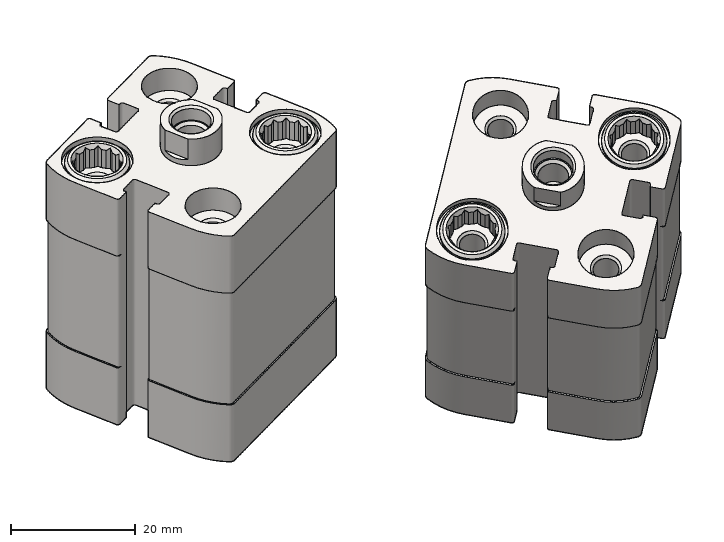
import cadquery as cq
import math

width = 35.5
half_width = width / 2
total_height = 52.5
rod_stickout = 5.5
housing_height = total_height - rod_stickout
cap_height = 11.85
barrel_inset = 0.25
chamfer_slope = 45.0

bolt_offset = 10.95
corner_arc_radius = 12.95
corner_fillet = 0.95

slot_angles = (0, 180, -90)
slot_mouth = 5.4
slot_lip = 2.4
slot_depth = 5.85
slot_mouth_fillet = 0.4
slot_chamber_width = 6.9
slot_chamber_fillet = 0.4

bolt_hole_diameter = 4.15
bolt_countersink_diameter = 5.0
counterbore_diameter = 9.0
recess_depth = 4.6

groove_diameter = 11.5
groove_depth = 1.0
head_diameter = 10.5
head_face_diameter = 9.5
socket_entry_diameter = 8.4
socket_bore_diameter = 7.4
socket_corner_diameter = 8.0
socket_entry_slope = 60.0

rod_diameter = 10.0
rod_length = rod_stickout + cap_height
flat_spacing = 9.0
flat_length = 4.2
flat_runout_slope = 30.0
rod_mouth_diameter = 7.2
rod_bore_diameter = 6.4
rod_bore_depth = 2.8
thread_diameter = 6.0
drill_diameter = 5.0
drill_depth = 8.9
drill_tip_angle = 118.0


def cone_frustum(top_diameter, bottom_diameter, slope, top_z):
    """Cone narrowing downwards from top_z, its wall at slope degrees from horizontal."""
    height = (top_diameter - bottom_diameter) / 2 * math.tan(math.radians(slope))
    solid = cq.Solid.makeCone(bottom_diameter / 2, top_diameter / 2, height)
    return cq.Workplane(solid).translate((0, 0, top_z - height))


def cylinder(diameter, bottom_z, top_z):
    return cq.Workplane().workplane(offset=bottom_z).circle(diameter / 2).extrude(top_z - bottom_z)



def outline_prism(inset, bottom_z, height):
    """Square with the +Y and -Y faces curving down at the corners, inset all round."""
    half = half_width - inset
    radius = corner_arc_radius - inset
    center_y = half_width - corner_arc_radius

    def on_arc(x):
        return center_y + math.sqrt(radius ** 2 - (x - bolt_offset) ** 2)

    mid_x = (half + bolt_offset) / 2
    corner_y = on_arc(half)
    return (
        cq.Workplane().workplane(offset=bottom_z)
        .moveTo(-bolt_offset, half)
        .lineTo(bolt_offset, half)
        .threePointArc((mid_x, on_arc(mid_x)), (half, corner_y))
        .lineTo(half, -corner_y)
        .threePointArc((mid_x, -on_arc(mid_x)), (bolt_offset, -half))
        .lineTo(-bolt_offset, -half)
        .threePointArc((-mid_x, -on_arc(mid_x)), (-half, -corner_y))
        .lineTo(-half, corner_y)
        .threePointArc((-mid_x, on_arc(mid_x)), (-bolt_offset, half))
        .close().extrude(height)
        .edges("|Z and (<X or >X)").fillet(corner_fillet - inset)
    )


def slot_chamber():
    """Wide inner part of a slot opening towards -Y."""
    return (
        cq.Workplane()
        .center(0, -half_width + (slot_lip + slot_depth) / 2)
        .rect(slot_chamber_width, slot_depth - slot_lip)
        .extrude(housing_height)
        .edges("|Z").fillet(slot_chamber_fillet)
    )


def slot_throat(inset, bottom_z, height):
    """Narrow mouth of a slot opening towards -Y, flared by its rounded edges."""
    mouth_y = -half_width + inset
    half_mouth = slot_mouth / 2
    flare = slot_mouth_fillet
    bend = flare * (1 - math.cos(math.radians(45)))
    return (
        cq.Workplane().workplane(offset=bottom_z)
        .moveTo(-half_mouth - flare, mouth_y)
        .threePointArc((-half_mouth - bend, mouth_y + bend), (-half_mouth, mouth_y + flare))
        .lineTo(-half_mouth, -half_width + slot_depth)
        .lineTo(half_mouth, -half_width + slot_depth)
        .lineTo(half_mouth, mouth_y + flare)
        .threePointArc((half_mouth + bend, mouth_y + bend), (half_mouth + flare, mouth_y))
        .close().extrude(height)
    )


def housing_section(inset, bottom_z, height):
    """One length of the housing with the mouths of its three slots."""
    section = outline_prism(inset, bottom_z, height)
    throat = slot_throat(inset, bottom_z, height)
    for angle in slot_angles:
        section = section.cut(throat.rotate((0, 0, 0), (0, 0, 1), angle))
    return section


def bolt_hole():
    """Through hole with a countersink at the floor of the recess above it."""
    floor_z = housing_height - recess_depth
    hole = cylinder(bolt_hole_diameter, 0, floor_z)
    return hole.union(cone_frustum(bolt_countersink_diameter, bolt_hole_diameter, chamfer_slope, floor_z))


def counterbore():
    return cylinder(counterbore_diameter, housing_height - recess_depth, housing_height)


def head_groove():
    """Ring groove around a screw head whose top edge is chamfered."""
    floor_z = housing_height - groove_depth
    head = cylinder(head_diameter, floor_z, housing_height)
    head = head.faces(">Z").chamfer((head_diameter - head_face_diameter) / 2)
    return cylinder(groove_diameter, floor_z, housing_height).cut(head)


def socket():
    """Twelve-point socket: two hexagons and a bore, below a conical entry."""
    floor_z = housing_height - recess_depth
    cavity = cylinder(socket_bore_diameter, floor_z, housing_height)
    hexagon = (
        cq.Workplane().workplane(offset=floor_z)
        .polygon(6, socket_corner_diameter).extrude(recess_depth)
    )
    for angle in (0, 30):
        cavity = cavity.union(hexagon.rotate((0, 0, 0), (0, 0, 1), angle))
    entry = cone_frustum(socket_entry_diameter, socket_bore_diameter, socket_entry_slope, housing_height)
    return cavity.union(entry)


def make_housing():
    top_cap_z = housing_height - cap_height
    body = housing_section(0, 0, cap_height)
    body = body.union(housing_section(barrel_inset, cap_height, top_cap_z - cap_height))
    body = body.union(housing_section(0, top_cap_z, cap_height))

    for angle in slot_angles:
        body = body.cut(slot_chamber().rotate((0, 0, 0), (0, 0, 1), angle))

    for x_side in (-1, 1):
        for y_side in (-1, 1):
            place = (x_side * bolt_offset, y_side * bolt_offset, 0)
            body = body.cut(bolt_hole().translate(place))
            if x_side == y_side:
                body = body.cut(head_groove().translate(place))
                body = body.cut(socket().translate(place))
            else:
                body = body.cut(counterbore().translate(place))

    return body.cut(cylinder(rod_diameter, total_height - rod_length, housing_height))



def wrench_flat():
    """Cutter for the flat on the +Y side, running out on a downward slope."""
    flat_y = flat_spacing / 2
    outer_y = rod_diameter
    drop = (outer_y - flat_y) * math.tan(math.radians(flat_runout_slope))
    flat_z = total_height - flat_length
    return (
        cq.Workplane("YZ")
        .moveTo(flat_y, total_height)
        .lineTo(flat_y, flat_z)
        .lineTo(outer_y, flat_z - drop)
        .lineTo(outer_y, total_height)
        .close().extrude(rod_diameter / 2, both=True)
    )


def rod_bore():
    """Chamfered clearance bore above a countersunk drilled hole with a conical bottom."""
    step_z = total_height - rod_bore_depth
    drill_z = total_height - drill_depth
    bore = cone_frustum(rod_mouth_diameter, rod_bore_diameter, chamfer_slope, total_height)
    bore = bore.union(cylinder(rod_bore_diameter, step_z, total_height))
    bore = bore.union(cone_frustum(thread_diameter, drill_diameter, chamfer_slope, step_z))
    bore = bore.union(cylinder(drill_diameter, drill_z, step_z))
    return bore.union(cone_frustum(drill_diameter, 0, 90 - drill_tip_angle / 2, drill_z))


def make_rod():
    rod = cylinder(rod_diameter, total_height - rod_length, total_height)
    for angle in (0, 180):
        rod = rod.cut(wrench_flat().rotate((0, 0, 0), (0, 0, 1), angle))
    return rod.cut(rod_bore())


housing = make_housing()
piston_rod = make_rod()

result = cq.Compound.makeCompound([housing.val(), piston_rod.val()])